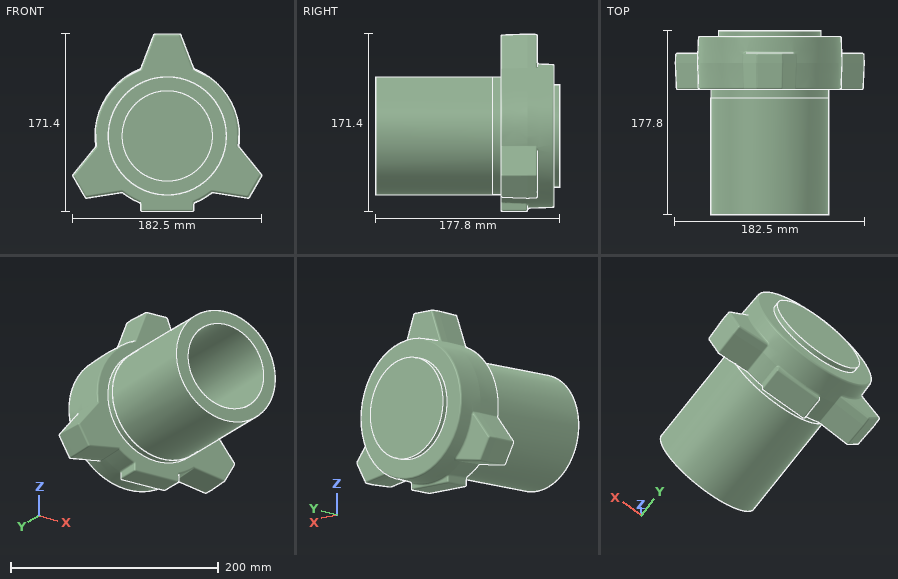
import cadquery as cq
import math

pipe_length = 112.8
nut_front = 120.8
parting = 146.5
lug_back = 156.0
nut_back = 172.3
hub_back = 177.8

pipe_radius = 57.1
collar_radius = 57.0
bore_radius = 43.6
hub_radius = 49.7
nut_radius = 70.0

draft_degrees = 2.0
edge_round = 1.8

overall_width = 182.5
lug_count = 3
lug_spacing = 360 / lug_count
lug_tip_height = 98.4
lug_root_height = 54.8
lug_side_lean = math.radians(21.0)

lug_droop = math.radians(lug_spacing - 90)
corner_reach = overall_width / 2 - edge_round
corner_centre_height = lug_tip_height - edge_round
corner_centre_offset = (corner_reach - corner_centre_height * math.cos(lug_droop)) / math.sin(lug_droop)
corner_overhang = edge_round * (1 / math.cos(lug_side_lean) - math.tan(lug_side_lean))
lug_tip_half_width = corner_centre_offset + corner_overhang
lug_root_half_width = lug_tip_half_width + (lug_tip_height - lug_root_height) * math.tan(lug_side_lean)

foot_depth = 73.0
foot_width = 51.5
foot_overlap = 0.2
foot_back = parting + foot_overlap

near = 0.02


def axis_distance(point):
    return math.hypot(point.x, point.z)


def lies_at(edge, y):
    """True for an edge lying in the plane at this Y."""
    return abs(edge.startPoint().y - y) < near and abs(edge.Center().y - y) < near


def runs_along_y(edge):
    return abs(edge.startPoint().y - edge.endPoint().y) > edge_round


def rounded(body, is_wanted):
    """Round every edge for which is_wanted(edge) holds."""
    edges = [edge for edge in body.edges().vals() if is_wanted(edge)]
    return body.newObject([body.val().fillet(edge_round, edges)])


def disc(radius, y_start, y_end):
    """Cylinder along Y between two positions."""
    return cq.Workplane("XZ", origin=(0, y_start, 0)).circle(radius).extrude(y_start - y_end)


def parting_plane():
    return cq.Workplane("XZ", origin=(0, parting, 0))


def drafted(outline, y_end):
    """Solid from the parting plane to y_end, narrowing by the draft angle."""
    return outline.extrude(parting - y_end, taper=draft_degrees)


def lug_half(y_end):
    """One side of the upright lug: a trapezoid rooted inside the nut, with rounded tip corners."""
    outline = (
        parting_plane()
        .moveTo(-lug_root_half_width, lug_root_height)
        .lineTo(-lug_tip_half_width, lug_tip_height)
        .lineTo(lug_tip_half_width, lug_tip_height)
        .lineTo(lug_root_half_width, lug_root_height)
        .close()
    )

    def is_tip_corner(edge):
        return runs_along_y(edge) and edge.Center().z > nut_radius

    return rounded(drafted(outline, y_end), is_tip_corner)


def rear_lug_half():
    """Rear side of the upright lug, with its back edges rounded outside the nut."""

    def is_back_edge(edge):
        return lies_at(edge, lug_back) and edge.Center().z > nut_radius

    return rounded(lug_half(lug_back), is_back_edge)


def nut_half(y_end, lug):
    """One side of the nut with its ring of lugs, the lug roots blended into the nut."""
    half = drafted(parting_plane().circle(nut_radius), y_end)
    for i in range(lug_count):
        half = half.union(lug.rotate((0, 0, 0), (0, 1, 0), i * lug_spacing))

    def is_lug_root(edge):
        points = [edge.positionAt(t) for t in (0, 0.5, 1)]
        on_nut = all(abs(axis_distance(p) - nut_radius) < edge_round for p in points)
        beside_lug = runs_along_y(edge) and edge.geomType() != "LINE"
        behind_lug = lies_at(edge, lug_back)
        return on_nut and (beside_lug or behind_lug)

    return rounded(half, is_lug_root)


def foot():
    """Rectangular block reaching down from the axis, its lower corners and rear edges rounded."""
    block = cq.Workplane("XY", origin=(0, nut_front, -foot_depth)).box(
        foot_width, foot_back - nut_front, foot_depth, centered=(True, False, False)
    )

    def is_exposed(edge):
        rear = lies_at(edge, foot_back) and edge.Center().z < -near
        lower_corner = runs_along_y(edge) and edge.Center().z < -near
        return rear or lower_corner

    return rounded(block, is_exposed)


def is_foot_root(edge):
    """True for the edges where the foot enters the nut, along its sides and its back."""
    centre = edge.Center()
    below = centre.z < -nut_radius / 2
    within_foot = abs(centre.x) < foot_width / 2 + near
    on_nut = axis_distance(centre) < nut_radius + near
    return below and within_foot and on_nut and not lies_at(edge, nut_front)


nut = nut_half(nut_front, lug_half(nut_front)).union(nut_half(nut_back, rear_lug_half()))
nut = rounded(nut.union(foot()), is_foot_root)
nut = rounded(nut, lambda edge: lies_at(edge, nut_front))
nut = rounded(nut, lambda edge: lies_at(edge, nut_back))

result = (
    nut.union(disc(pipe_radius, 0, pipe_length))
    .union(disc(collar_radius, pipe_length, nut_front))
    .union(disc(hub_radius, nut_back, hub_back))
    .cut(disc(bore_radius, 0, pipe_length))
)